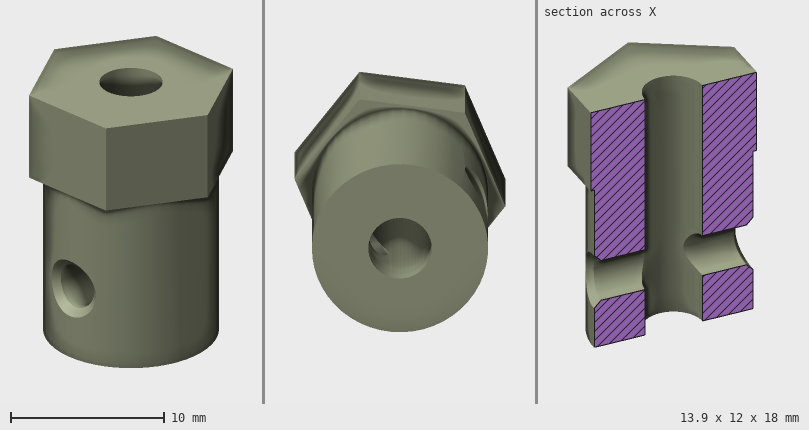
import cadquery as cq
import math

total_height = 18
head_height = total_height / 3
hex_across_flats = 12.0
shank_diameter = 11.5
bore_diameter = 4.14

cross_hole_diameter = 3.0
cross_hole_height = 5.0
cross_hole_chamfer = 0.5

head_across_corners = hex_across_flats / math.cos(math.radians(30))
shank_height = total_height - head_height


def make_shank():
    """Round shank with a chamfered cross hole, standing on Z = 0."""
    shank = cq.Workplane("XY").circle(shank_diameter / 2).extrude(shank_height)
    cross_hole = (
        cq.Workplane("XZ", origin=(0, 0, cross_hole_height))
        .circle(cross_hole_diameter / 2)
        .extrude(shank_diameter, both=True)
    )
    drilled = shank.cut(cross_hole)
    rim_reach = cross_hole_diameter
    rims = cq.selectors.BoxSelector(
        (-rim_reach, -shank_diameter, cross_hole_height - rim_reach),
        (rim_reach, shank_diameter, cross_hole_height + rim_reach),
        boundingbox=True,
    )
    return drilled.edges(rims).edges("not %LINE").chamfer(cross_hole_chamfer)


def make_head():
    """Hexagonal head with two corners on the X axis, on top of the shank."""
    return (
        cq.Workplane("XY", origin=(0, 0, shank_height))
        .polygon(6, head_across_corners)
        .extrude(head_height)
    )


def make_bore():
    """Straight through bore along Z."""
    return cq.Workplane("XY").circle(bore_diameter / 2).extrude(total_height)


result = make_shank().union(make_head()).cut(make_bore())